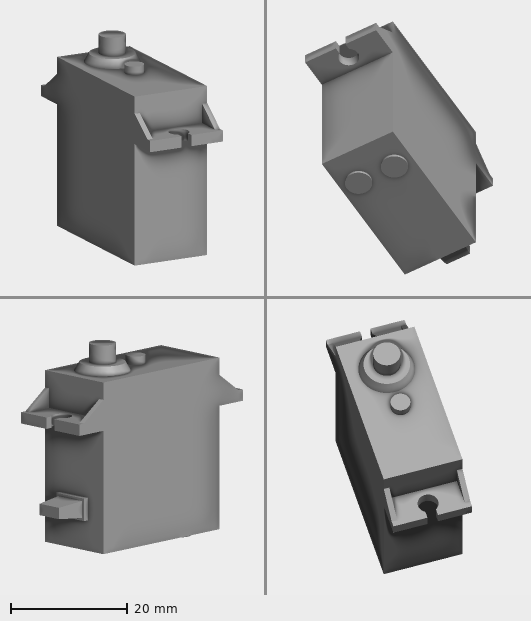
import cadquery as cq

case_length = 28.3
case_width = 14.15
case_height = 30.22

lug_reach_left = 5.8
lug_reach_right = 5.7
lug_bottom = 21.72
lug_thickness = 2.0
gusset_height = 3.45
gusset_thickness = 1.0
gusset_setback = 1.0
lug_hole_diameter = 3.6
lug_hole_setback = 2.75
lug_slot_width = 1.9

collar_base_diameter = 9.78
collar_top_diameter = 8.0
collar_height = 1.52
shaft_diameter = 4.7
shaft_length = 3.33
shaft_x = -7.25
pin_diameter = 3.4
pin_x = 0.8

screw_diameter = 4.7
screw_height = 0.5
screw_x = 7.6
screw_spacing = 7.15

outlet_z = 7.37
plate_width = 6.75
plate_height = 3.95
plate_thickness = 1.0
relief_root_width = 5.77
relief_root_height = 2.95
relief_tip_width = 4.7
relief_tip_height = 2.0
relief_length = 5.1


def make_lug(side, reach):
    """Slotted lug with two gussets; side is -1 for the -X end, +1 for the +X end."""
    case_end = side * case_length / 2
    tip = case_end + side * reach
    lug_top = lug_bottom + lug_thickness

    lug = cq.Workplane("XY").box(reach, case_width, lug_thickness, centered=(True, True, False))
    lug = lug.translate(((case_end + tip) / 2, 0, lug_bottom))

    hole_x = tip - side * lug_hole_setback
    hole = (
        cq.Workplane("XY", origin=(hole_x, 0, lug_bottom))
        .circle(lug_hole_diameter / 2)
        .extrude(lug_thickness)
    )
    slot = (
        cq.Workplane("XY", origin=((hole_x + tip) / 2, 0, lug_bottom))
        .rect(lug_hole_setback, lug_slot_width)
        .extrude(lug_thickness)
    )
    lug = lug.cut(hole).cut(slot)

    gusset = (
        cq.Workplane("XZ", origin=(0, case_width / 2, 0))
        .moveTo(case_end, lug_top)
        .lineTo(tip - side * gusset_setback, lug_top)
        .lineTo(case_end, lug_top + gusset_height)
        .close()
        .extrude(gusset_thickness)
    )
    return lug.union(gusset).union(gusset.mirror("XZ"))


def make_output():
    """Collar, shaft and pin on the top face."""
    collar = (
        cq.Workplane("XY", origin=(shaft_x, 0, case_height))
        .circle(collar_base_diameter / 2)
        .workplane(offset=collar_height)
        .circle(collar_top_diameter / 2)
        .loft()
    )
    shaft = (
        cq.Workplane("XY", origin=(shaft_x, 0, case_height))
        .circle(shaft_diameter / 2)
        .extrude(collar_height + shaft_length)
    )
    pin = (
        cq.Workplane("XY", origin=(pin_x, 0, case_height))
        .circle(pin_diameter / 2)
        .extrude(collar_height)
    )
    return collar.union(shaft).union(pin)


def make_screw_heads():
    """Pair of flat round heads below the bottom face."""
    return (
        cq.Workplane("XY", origin=(screw_x, 0, 0))
        .pushPoints([(0, -screw_spacing / 2), (0, screw_spacing / 2)])
        .circle(screw_diameter / 2)
        .extrude(-screw_height)
    )


def make_cable_outlet():
    """Plate and tapered strain relief pointing toward -X."""
    case_end = -case_length / 2
    plate = (
        cq.Workplane("YZ", origin=(case_end, 0, outlet_z))
        .rect(plate_width, plate_height)
        .extrude(-plate_thickness)
    )
    relief = (
        cq.Workplane("YZ", origin=(case_end - plate_thickness, 0, outlet_z))
        .rect(relief_root_width, relief_root_height)
        .workplane(offset=-relief_length)
        .rect(relief_tip_width, relief_tip_height)
        .loft()
    )
    return plate.union(relief)


case = cq.Workplane("XY").box(case_length, case_width, case_height, centered=(True, True, False))
result = (
    case.union(make_lug(-1, lug_reach_left))
    .union(make_lug(1, lug_reach_right))
    .union(make_output())
    .union(make_screw_heads())
    .union(make_cable_outlet())
)